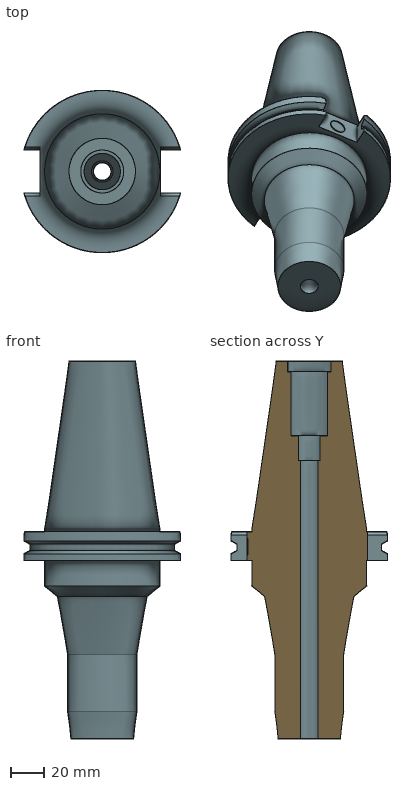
import cadquery as cq
import math


total_height = 228.6
taper_length = 101.6
gauge_z = total_height - taper_length
gauge_to_flange_top = 1.5875
gauge_to_flange_bottom = 19.05
gauge_to_groove_center = 11.1
flange_top_z = gauge_z - gauge_to_flange_top
flange_bottom_z = gauge_z - gauge_to_flange_bottom
groove_center_z = gauge_z - gauge_to_groove_center

gauge_radius = 69.85 / 2
taper_ratio = 7 / 24
small_end_radius = gauge_radius - taper_length * taper_ratio / 2

flange_radius = 98.425 / 2
groove_floor_radius = 45.7
groove_floor_half_width = 1.9
groove_wall_angle = 30
groove_depth = flange_radius - groove_floor_radius
groove_mouth_half_width = groove_floor_half_width + groove_depth * math.tan(math.radians(groove_wall_angle))

collar_bottom_z = 92.4
neck_top_z = 86.1
neck_top_radius = 27.2
nose_top_z = 51.0
nose_radius = 21.0
tip_top_z = 16.5
tip_radius = 19.0

slot_width = 25.9
slot_chamfer = 2.0
left_slot_floor = 37.7
right_slot_floor = 35.3

mark_diameter = 9.6
mark_depth = 0.4
mark_z = 116.2

pilot_radius = 13.0
pilot_depth = 6.3
thread_radius = 11.0
thread_depth = 45.0
stop_bore_radius = 6.5
stop_bore_depth = 60.0
through_radius = 5.3


def make_body():
    """Revolve the outer outline, from the nose tip up to the small end of the taper."""
    outline = [
        (0, 0),
        (tip_radius, 0),
        (nose_radius, tip_top_z),
        (nose_radius, nose_top_z),
        (neck_top_radius, neck_top_z),
        (gauge_radius, collar_bottom_z),
        (gauge_radius, flange_bottom_z),
        (flange_radius, flange_bottom_z),
        (flange_radius, groove_center_z - groove_mouth_half_width),
        (groove_floor_radius, groove_center_z - groove_floor_half_width),
        (groove_floor_radius, groove_center_z + groove_floor_half_width),
        (flange_radius, groove_center_z + groove_mouth_half_width),
        (flange_radius, flange_top_z),
        (gauge_radius, flange_top_z),
        (gauge_radius, gauge_z),
        (small_end_radius, total_height),
        (0, total_height),
    ]
    return cq.Workplane("YZ").polyline(outline).close().revolve(360, (0, 0, 0), (0, 1, 0))


def make_slot_cutter(floor_distance, side):
    """Drive slot with chamfered upper edges; side is -1 for -X and +1 for +X."""
    half_width = slot_width / 2
    section = [
        (-half_width, flange_bottom_z),
        (half_width, flange_bottom_z),
        (half_width, flange_top_z - slot_chamfer),
        (half_width + slot_chamfer, flange_top_z),
        (-half_width - slot_chamfer, flange_top_z),
        (-half_width, flange_top_z - slot_chamfer),
    ]
    return (
        cq.Workplane("YZ", origin=(side * floor_distance, 0, 0))
        .polyline(section)
        .close()
        .extrude(side * flange_radius)
    )


def make_mark_cutter():
    """Shallow round recess in the -X slot floor."""
    return (
        cq.Workplane("YZ", origin=(-left_slot_floor, 0, mark_z))
        .circle(mark_diameter / 2)
        .extrude(mark_depth)
    )


def make_bore_cutter():
    """Coaxial bores that narrow downward, the last one passing right through."""
    steps = [
        (pilot_radius, pilot_depth),
        (thread_radius, thread_depth),
        (stop_bore_radius, stop_bore_depth),
        (through_radius, total_height),
    ]
    cutter = cq.Workplane("XY")
    for radius, depth in steps:
        bore = cq.Workplane("XY", origin=(0, 0, total_height - depth)).circle(radius).extrude(depth)
        cutter = cutter.union(bore)
    return cutter


result = (
    make_body()
    .cut(make_slot_cutter(left_slot_floor, -1))
    .cut(make_slot_cutter(right_slot_floor, 1))
    .cut(make_mark_cutter())
    .cut(make_bore_cutter())
)